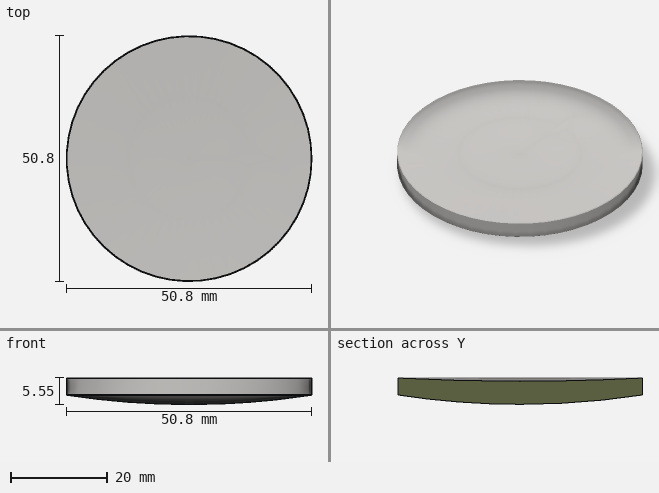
import cadquery as cq

diameter = 50.8
total_height = 5.55
convex_sag = 1.95
concave_sag = 0.65
edge_chamfer = 0.15

radius = diameter / 2
face_radius = radius - edge_chamfer


def sphere_radius(sag):
    """Radius of the sphere that has this sag across the optical face."""
    return (face_radius**2 + sag**2) / (2 * sag)


def sag_at(distance, sag):
    """Axial drop of a spherical face at a distance from the lens axis."""
    curvature_radius = sphere_radius(sag)
    return curvature_radius - (curvature_radius**2 - distance**2) ** 0.5


half_face = face_radius / 2
top_center = total_height - concave_sag

result = (
    cq.Workplane("XZ")
    .moveTo(0, 0)
    .threePointArc((half_face, sag_at(half_face, convex_sag)), (face_radius, convex_sag))
    .lineTo(radius, convex_sag + edge_chamfer)
    .lineTo(radius, total_height - edge_chamfer)
    .lineTo(face_radius, total_height)
    .threePointArc((half_face, top_center + sag_at(half_face, concave_sag)), (0, top_center))
    .close()
    .revolve(360, (0, 0, 0), (0, 1, 0))
)